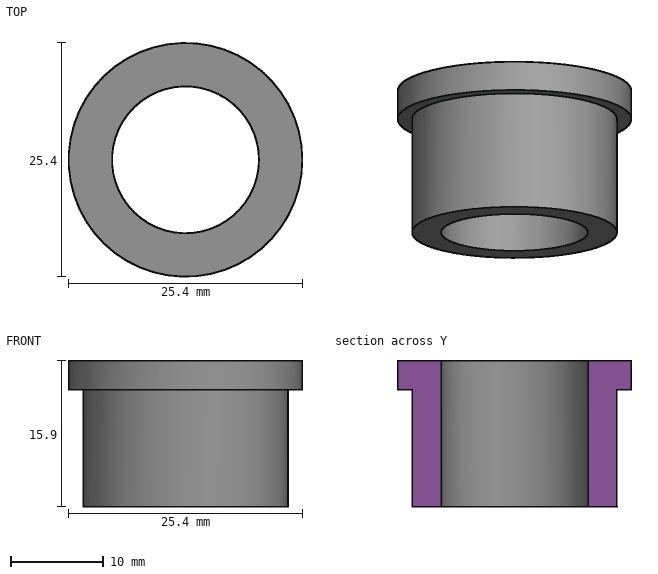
import cadquery as cq

INCH = 25.4
flange_diameter = 1.0 * INCH
sleeve_diameter = 0.877 * INCH
bore_diameter = 0.627 * INCH
total_height = 5 / 8 * INCH
flange_thickness = 1 / 8 * INCH
sleeve_length = total_height - flange_thickness


def make_sleeve():
    """Plain cylinder below the flange."""
    return cq.Workplane("XY").circle(sleeve_diameter / 2).extrude(sleeve_length)


def add_flange(body):
    """Wider disc on top of the sleeve."""
    return body.faces(">Z").workplane().circle(flange_diameter / 2).extrude(flange_thickness)


def cut_bore(body):
    """Straight bore through the full height."""
    return body.faces(">Z").workplane().circle(bore_diameter / 2).cutThruAll()


result = cut_bore(add_flange(make_sleeve()))